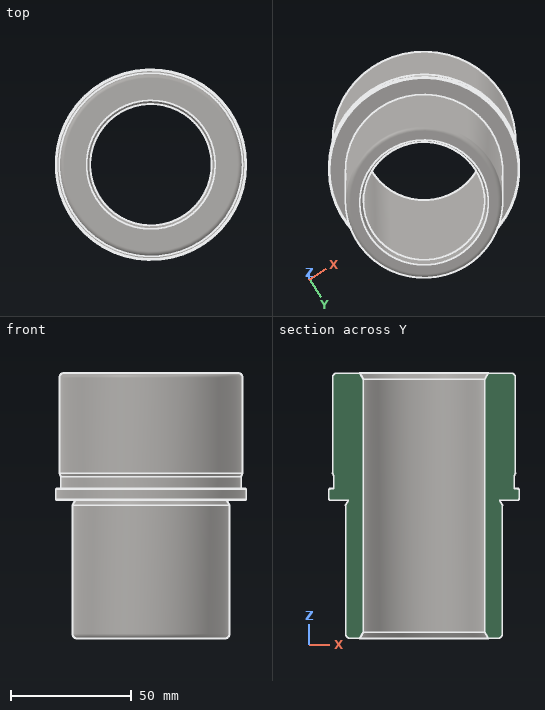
import cadquery as cq

total_height = 110.0
flange_bottom = 57.2
flange_thickness = 5.0
flange_top = flange_bottom + flange_thickness
head_bottom = 67.0

flange_radius = 39.5
head_radius = 38.0
groove_radius = 37.4
shank_radius = 32.6
neck_radius = 31.5
bore_radius = 25.1

end_fillet = 2.0
head_taper_height = 1.4
neck_taper_height = 2.0
flange_chamfer = 0.4
bore_chamfer_width = 1.5
bore_chamfer_depth = 2.6


def turned_body():
    """Revolve the stepped outside as a solid around Z."""
    outline = [
        (0, 0),
        (shank_radius, 0),
        (shank_radius, flange_bottom - neck_taper_height),
        (neck_radius, flange_bottom),
        (flange_radius - flange_chamfer, flange_bottom),
        (flange_radius, flange_bottom + flange_chamfer),
        (flange_radius, flange_top - flange_chamfer),
        (flange_radius - flange_chamfer, flange_top),
        (groove_radius, flange_top),
        (groove_radius, head_bottom),
        (head_radius, head_bottom + head_taper_height),
        (head_radius, total_height),
        (0, total_height),
    ]
    profile = cq.Workplane("XZ").polyline(outline).close()
    return profile.revolve(360, (0, 0, 0), (0, 1, 0))


def bore_cutter():
    """Through bore, chamfered at both ends."""
    mouth_radius = bore_radius + bore_chamfer_width
    outline = [
        (0, 0),
        (mouth_radius, 0),
        (bore_radius, bore_chamfer_depth),
        (bore_radius, total_height - bore_chamfer_depth),
        (mouth_radius, total_height),
        (0, total_height),
    ]
    profile = cq.Workplane("XZ").polyline(outline).close()
    return profile.revolve(360, (0, 0, 0), (0, 1, 0))


body = turned_body().faces("<Z or >Z").edges().fillet(end_fillet)
result = body.cut(bore_cutter())